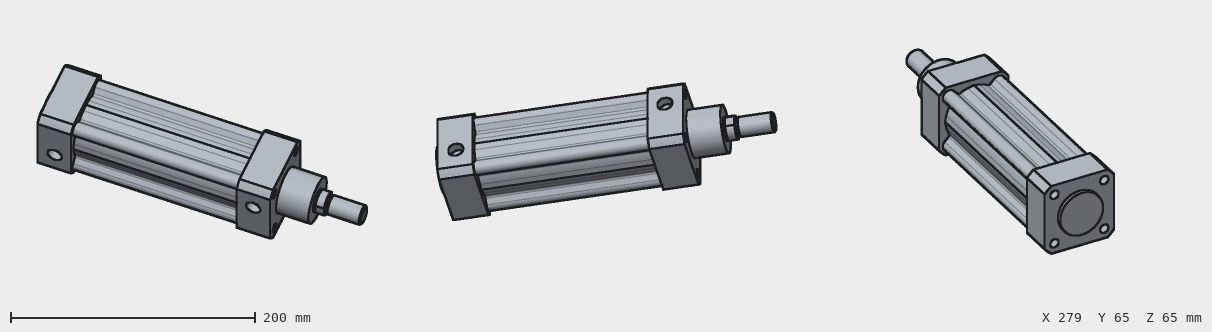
import cadquery as cq
import math

REAR_CAP_START = 4.0
CAP_LENGTH = 29.5
FRONT_CAP_START = 180.0
COLLAR_END = 238.0
ROD_START = 239.7
SHANK_END = 247.2
NECK_START = 248.0
NECK_END = 250.0
ROD_END = 279.0
REAR_CAP_END = REAR_CAP_START + CAP_LENGTH
FRONT_CAP_END = FRONT_CAP_START + CAP_LENGTH

CAP_WIDTH = 65.0
CAP_CORNER_RADIUS = 41.8
SPIGOT_RADIUS = 20.0
PORT_DIAMETER = 12.5
PORT_DEPTH = 8.5
PORT_OFFSET = 8.5
REAR_PORT_X = 19.3
FRONT_PORT_X = 194.5
BOLT_SPACING = 46.5
BOLT_HOLE_DIAMETER = 7.8
BOLT_HOLE_DEPTH = 14.0

BARREL_RADIUS = 26.5
RIDGE_HALF_WIDTH = 5.5
LOBE_RADIUS = 5.9
LOBE_FILLET = 2.2

SHANK_RADIUS = 10.0
FLATS_WIDTH = 17.9
NECK_RADIUS = 7.8
THREAD_RADIUS = 8.5
THREAD_CHAMFER = 1.5

AXIS_TOLERANCE = 0.003


def section_plane(x):
    """Workplane across the cylinder axis: local x is +Y, local y is +Z, extruding along +X."""
    return cq.Workplane("YZ", origin=(x, 0, 0))


def make_cap_block(start):
    """Square block whose four corners are rounded about the cylinder axis."""
    block = section_plane(start).rect(CAP_WIDTH, CAP_WIDTH).extrude(CAP_LENGTH)
    return block.intersect(section_plane(start).circle(CAP_CORNER_RADIUS).extrude(CAP_LENGTH))


def make_port(x, z):
    """Blind round port entering from the -Y side."""
    plane = cq.Workplane("XZ", origin=(x, -CAP_WIDTH / 2, z))
    return plane.circle(PORT_DIAMETER / 2).extrude(-PORT_DEPTH)


def make_bolt_holes(outer_face, inward):
    """Four blind holes in a cap's outer face, at the corners of the bolt square."""
    corners = section_plane(outer_face).rect(BOLT_SPACING, BOLT_SPACING, forConstruction=True).vertices()
    return corners.circle(BOLT_HOLE_DIAMETER / 2).extrude(inward * BOLT_HOLE_DEPTH)


def make_rear_cap():
    spigot = section_plane(0).circle(SPIGOT_RADIUS).extrude(REAR_CAP_START)
    cap = make_cap_block(REAR_CAP_START).union(spigot)
    cap = cap.cut(make_port(REAR_PORT_X, -PORT_OFFSET))
    return cap.cut(make_bolt_holes(REAR_CAP_START, 1))


def make_front_cap():
    collar = section_plane(FRONT_CAP_END).circle(SPIGOT_RADIUS).extrude(COLLAR_END - FRONT_CAP_END)
    lip = section_plane(COLLAR_END).circle(SHANK_RADIUS).extrude(ROD_START - COLLAR_END)
    cap = make_cap_block(FRONT_CAP_START).union(collar).union(lip)
    cap = cap.cut(make_port(FRONT_PORT_X, PORT_OFFSET))
    return cap.cut(make_bolt_holes(FRONT_CAP_END, -1))


def is_lobe_junction(edge):
    """True for an edge along X where a lobe web leaves the round barrel."""
    center = edge.Center()
    on_barrel = abs(math.hypot(center.y, center.z) - BARREL_RADIUS) < AXIS_TOLERANCE
    return on_barrel and min(abs(center.y), abs(center.z)) > LOBE_RADIUS


def make_barrel():
    length = FRONT_CAP_START - REAR_CAP_END
    barrel = section_plane(REAR_CAP_END).circle(BARREL_RADIUS).extrude(length)

    slot_length = BOLT_SPACING * math.sqrt(2) + 2 * LOBE_RADIUS
    for angle in (45, 135):
        slot = section_plane(REAR_CAP_END).slot2D(slot_length, 2 * LOBE_RADIUS, angle)
        barrel = barrel.union(slot.extrude(length))
    junctions = barrel.edges("|X").filter(is_lobe_junction).vals()
    barrel = barrel.newObject(junctions).fillet(LOBE_FILLET)

    foot = math.sqrt(BARREL_RADIUS**2 - RIDGE_HALF_WIDTH**2)
    peak = BARREL_RADIUS**2 / foot
    outline = [(0, 0), (foot, -RIDGE_HALF_WIDTH), (peak, 0), (foot, RIDGE_HALF_WIDTH)]
    ridge = section_plane(REAR_CAP_END).polyline(outline).close().extrude(length)
    for angle in (0, 90, 180, 270):
        barrel = barrel.union(ridge.rotate((0, 0, 0), (1, 0, 0), angle))
    return barrel


def make_rod():
    profile = [
        (ROD_START, 0),
        (ROD_START, SHANK_RADIUS),
        (SHANK_END, SHANK_RADIUS),
        (SHANK_END, THREAD_RADIUS),
        (NECK_START, NECK_RADIUS),
        (NECK_END, NECK_RADIUS),
        (NECK_END, THREAD_RADIUS),
        (ROD_END - THREAD_CHAMFER, THREAD_RADIUS),
        (ROD_END, THREAD_RADIUS - THREAD_CHAMFER),
        (ROD_END, 0),
    ]
    rod = cq.Workplane("XY").polyline(profile).close().revolve(360, (0, 0, 0), (1, 0, 0))

    flats_length = SHANK_END - ROD_START
    stock = section_plane(ROD_START).circle(2 * SHANK_RADIUS).extrude(flats_length)
    kept = section_plane(ROD_START).rect(FLATS_WIDTH, 4 * SHANK_RADIUS).extrude(flats_length)
    return rod.cut(stock.cut(kept))


rear_cap = make_rear_cap()
barrel = make_barrel()
front_cap = make_front_cap()
rod = make_rod()

result = cq.Compound.makeCompound([rear_cap.val(), barrel.val(), front_cap.val(), rod.val()])